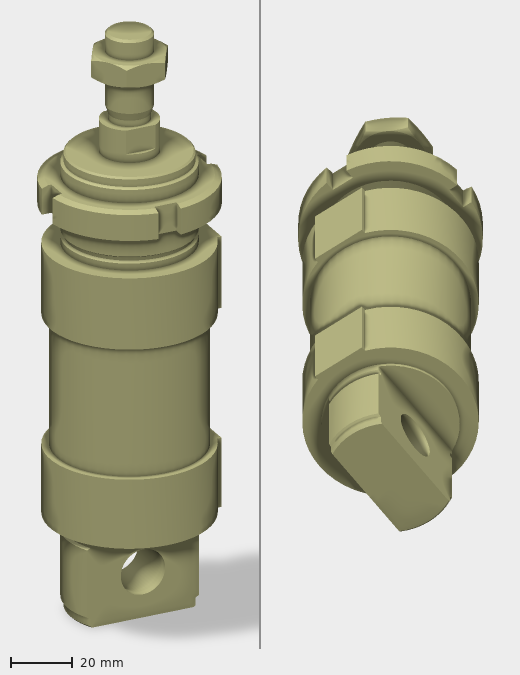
import cadquery as cq
import math


total_height = 205.2
front_face_z = 162.5
front_cap_top_z = 129.9
front_cap_bottom_z = 104.5
rear_cap_top_z = 58.0
rear_cap_bottom_z = 33.5
flange_bottom_z = 32.2

barrel_diameter = 52.3
cap_diameter = 57.3
cap_pad_width = 18.9

thread_diameter = 45.0
thread_relief_diameter = 42.9
relief_taper = 0.6
pilot_length = 3.3
front_groove_bottom_z = 132.4
rear_groove_bottom_z = 28.0
groove_width = 2.5

lug_thickness = 20.0
lug_hole_diameter = 16.0
lug_hole_z = 16.2

rod_diameter = 20.0
rod_thread_diameter = 16.0
rod_groove_diameter = 14.0
rod_thread_bottom_z = 179.1
rod_groove_top_z = 176.3
rod_shoulder_z = 174.0
rod_tip_chamfer = 0.8
wrench_flat_width = 16.8
wrench_flat_bottom_z = 165.5

hex_nut_width = 24.0
hex_nut_height = 8.0
hex_nut_bottom_z = 190.2
hex_chamfer_angle = 30.0

ring_nut_diameter = 60.0
ring_nut_height = 10.0
ring_nut_bottom_z = 143.8
ring_chamfer_width = 2.3
ring_chamfer_height = 0.8
slot_width = 8.0
slot_depth = 3.7
slot_count = 4


def cylinder(diameter, bottom, top):
    return cq.Workplane("XY").workplane(offset=bottom).circle(diameter / 2).extrude(top - bottom)


def revolve_profile(points):
    """Turn (radius, height) points around the Z axis."""
    return cq.Workplane("XZ").polyline(points).close().revolve(360, (0, 0, 0), (0, 1, 0))


def thread_groove(bottom):
    """Ring that cuts a run-out groove with sloping walls into the large thread."""
    outer = thread_diameter / 2
    inner = thread_relief_diameter / 2
    top = bottom + groove_width
    return revolve_profile([
        (outer, bottom),
        (inner, bottom + relief_taper),
        (inner, top - relief_taper),
        (outer, top),
    ])


def threaded_stub(root, tip, groove_bottom):
    """Large threaded stub from root to tip, with a pilot at the tip and a run-out groove."""
    outward = math.copysign(1, tip - root)
    outer = thread_diameter / 2
    inner = thread_relief_diameter / 2
    pilot_end = tip - outward * pilot_length
    stub = revolve_profile([
        (0, root),
        (outer, root),
        (outer, pilot_end - outward * relief_taper),
        (inner, pilot_end),
        (inner, tip - outward * relief_taper),
        (inner - relief_taper, tip),
        (0, tip),
    ])
    return stub.cut(thread_groove(groove_bottom))


def end_cap(bottom, top):
    """Round cap with a flat pad along its +Y side."""
    radius = cap_diameter / 2
    pad = (
        cq.Workplane("XY")
        .workplane(offset=bottom)
        .center(0, radius / 2)
        .rect(cap_pad_width, radius)
        .extrude(top - bottom)
    )
    return cylinder(cap_diameter, bottom, top).union(pad)


def rear_lug():
    """Threaded stub flattened on both X sides below a thin flange, with a cross hole."""
    stub = threaded_stub(rear_cap_bottom_z, 0, rear_groove_bottom_z)
    blade = (
        cq.Workplane("XY")
        .rect(lug_thickness, thread_diameter)
        .extrude(flange_bottom_z)
    )
    flange = cylinder(thread_diameter, flange_bottom_z, rear_cap_bottom_z)
    hole = (
        cq.Workplane("YZ")
        .center(0, lug_hole_z)
        .circle(lug_hole_diameter / 2)
        .extrude(lug_thickness, both=True)
    )
    return stub.intersect(blade.union(flange)).cut(hole)


def make_housing():
    barrel = cylinder(barrel_diameter, rear_cap_top_z, front_cap_bottom_z)
    return (
        barrel
        .union(end_cap(front_cap_bottom_z, front_cap_top_z))
        .union(end_cap(rear_cap_bottom_z, rear_cap_top_z))
        .union(threaded_stub(front_cap_top_z, front_face_z, front_groove_bottom_z))
        .union(rear_lug())
    )


def make_rod():
    """Rod standing on the housing front face, with wrench flats and a threaded end."""
    thread = rod_thread_diameter / 2
    groove = rod_groove_diameter / 2
    rod = revolve_profile([
        (0, front_face_z),
        (rod_diameter / 2, front_face_z),
        (rod_diameter / 2, rod_shoulder_z),
        (groove, rod_shoulder_z),
        (groove, rod_groove_top_z),
        (thread, rod_thread_bottom_z),
        (thread, total_height - rod_tip_chamfer),
        (thread - rod_tip_chamfer, total_height),
        (0, total_height),
    ])
    across_flats = (
        cq.Workplane("XY")
        .workplane(offset=wrench_flat_bottom_z)
        .rect(wrench_flat_width, rod_diameter)
        .extrude(total_height - wrench_flat_bottom_z)
    )
    below_flats = cylinder(rod_diameter, front_face_z, wrench_flat_bottom_z)
    return rod.intersect(across_flats.union(below_flats))


def make_hex_nut():
    """Hex nut with corners on the Y axis, chamfered at both ends."""
    top = hex_nut_bottom_z + hex_nut_height
    corner_radius = hex_nut_width / math.sqrt(3)
    face_radius = hex_nut_width / 2
    chamfer_height = (corner_radius - face_radius) * math.tan(math.radians(hex_chamfer_angle))
    hexagon = (
        cq.Workplane("XY")
        .workplane(offset=hex_nut_bottom_z)
        .transformed(rotate=(0, 0, 90))
        .polygon(6, 2 * corner_radius)
        .extrude(hex_nut_height)
    )
    envelope = revolve_profile([
        (0, hex_nut_bottom_z),
        (face_radius, hex_nut_bottom_z),
        (corner_radius, hex_nut_bottom_z + chamfer_height),
        (corner_radius, top - chamfer_height),
        (face_radius, top),
        (0, top),
    ])
    return hexagon.intersect(envelope).cut(cylinder(rod_thread_diameter, hex_nut_bottom_z, top))


def make_ring_nut():
    """Ring nut with a chamfered top rim and four wrench slots on the X and Y axes."""
    top = ring_nut_bottom_z + ring_nut_height
    outer = ring_nut_diameter / 2
    bore = thread_diameter / 2
    nut = revolve_profile([
        (bore, ring_nut_bottom_z),
        (outer, ring_nut_bottom_z),
        (outer, top - ring_chamfer_height),
        (outer - ring_chamfer_width, top),
        (bore, top),
    ])
    slots = (
        cq.Workplane("XY")
        .workplane(offset=ring_nut_bottom_z)
        .polarArray(outer, 0, 360, slot_count)
        .rect(2 * slot_depth, slot_width)
        .extrude(ring_nut_height)
    )
    return nut.cut(slots)


housing = make_housing()
rod = make_rod()
hex_nut = make_hex_nut()
ring_nut = make_ring_nut()

result = cq.Compound.makeCompound([
    housing.val(),
    rod.val(),
    hex_nut.val(),
    ring_nut.val(),
])